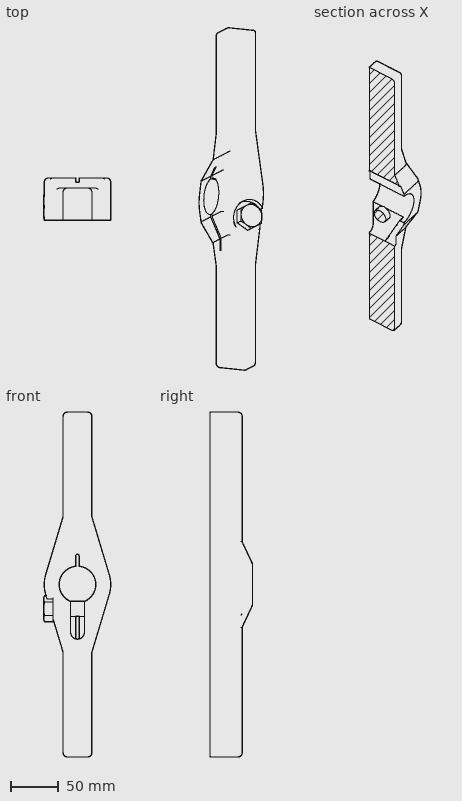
import cadquery as cq
import math

LENGTH = 360.68
HUB_DEPTH = 44.45
HUB_RADIUS = 34.925
BAR_WIDTH = 30.3
BAR_DEPTH = 33.78
FLARE_HALF_HEIGHT = 70.9
HUB_FLAT_HALF_HEIGHT = 21.8
SLOPE_HALF_HEIGHT = 44.45
EDGE_RADIUS = 4.7625
FRONT_EDGE_RADIUS = 0.79375

BORE_DIAMETER = 38.1
SLIT_WIDTH = 3.175
SLIT_TOP = 31.75

POCKET_WIDTH = 14.2875
POCKET_BOTTOM = -57.15
POCKET_WALL = 6.35

BOLT_Y = 14.2875
BOLT_Z = -25.4
BOLT_DIAMETER = 15.875
HEAD_SIDES = 6
HEAD_FLATS = 23.8125
HEAD_HEIGHT = 9.955
HEAD_BEVEL_ANGLE = 30.0
SEAT_X = -25.4
SEAT_RADIUS = 17.4625

HALF_LENGTH = LENGTH / 2
HALF_BAR = BAR_WIDTH / 2
SLOPE_RUN = SLOPE_HALF_HEIGHT - HUB_FLAT_HALF_HEIGHT
SLOPE_RISE = HUB_DEPTH - BAR_DEPTH
SLOPE_GRADIENT = SLOPE_RISE / SLOPE_RUN
TOLERANCE = 0.01


def flank_tangent_point():
    """X and Z where the flank from the upper right bar corner touches the hub circle."""
    corner_distance = math.hypot(HALF_BAR, FLARE_HALF_HEIGHT)
    corner_angle = math.atan2(FLARE_HALF_HEIGHT, HALF_BAR)
    angle = corner_angle - math.acos(HUB_RADIUS / corner_distance)
    return HUB_RADIUS * math.cos(angle), HUB_RADIUS * math.sin(angle)


def extrude_back(sketch):
    """Extrude an XZ sketch from the front face through the hub depth, toward +Y."""
    return sketch.extrude(-HUB_DEPTH)


def make_outline():
    """Bar with a hub in the middle, seen along Y, at full hub depth."""
    tangent_x, tangent_z = flank_tangent_point()
    sketch = (
        cq.Workplane("XZ")
        .moveTo(-HALF_BAR, HALF_LENGTH)
        .lineTo(HALF_BAR, HALF_LENGTH)
        .lineTo(HALF_BAR, FLARE_HALF_HEIGHT)
        .lineTo(tangent_x, tangent_z)
        .threePointArc((HUB_RADIUS, 0), (tangent_x, -tangent_z))
        .lineTo(HALF_BAR, -FLARE_HALF_HEIGHT)
        .lineTo(HALF_BAR, -HALF_LENGTH)
        .lineTo(-HALF_BAR, -HALF_LENGTH)
        .lineTo(-HALF_BAR, -FLARE_HALF_HEIGHT)
        .lineTo(-tangent_x, -tangent_z)
        .threePointArc((-HUB_RADIUS, 0), (-tangent_x, tangent_z))
        .lineTo(-HALF_BAR, FLARE_HALF_HEIGHT)
        .close()
    )
    return extrude_back(sketch)


def make_side_profile():
    """Thin bar rising over slopes to the hub, seen along X, wider than the hub."""
    return (
        cq.Workplane("YZ")
        .polyline(
            [
                (0, -HALF_LENGTH),
                (BAR_DEPTH, -HALF_LENGTH),
                (BAR_DEPTH, -SLOPE_HALF_HEIGHT),
                (HUB_DEPTH, -HUB_FLAT_HALF_HEIGHT),
                (HUB_DEPTH, HUB_FLAT_HALF_HEIGHT),
                (BAR_DEPTH, SLOPE_HALF_HEIGHT),
                (BAR_DEPTH, HALF_LENGTH),
                (0, HALF_LENGTH),
            ]
        )
        .close()
        .extrude(2 * HUB_RADIUS, both=True)
    )


def is_back_slope(face):
    """True for the two faces leaning between the bar and the hub flat."""
    normal = face.normalAt()
    return face.geomType() == "PLANE" and normal.y > TOLERANCE and abs(normal.z) > TOLERANCE


def is_cross_ridge(edge):
    """True for the lines across the back where a slope meets a flat."""
    center = edge.Center()
    height = abs(center.z)
    at_hub_flat = abs(height - HUB_FLAT_HALF_HEIGHT) < TOLERANCE
    at_bar = abs(height - SLOPE_HALF_HEIGHT) < TOLERANCE
    return abs(center.x) < TOLERANCE and (at_hub_flat or at_bar)


def make_body():
    """Handle body with rounded end corners, front edge and back outline."""
    body = make_outline().intersect(make_side_profile())
    end_corners = body.faces("<Z or >Z").edges("|Y")
    body = end_corners.fillet(EDGE_RADIUS)
    body = body.faces("<Y").fillet(FRONT_EDGE_RADIUS)
    flat_backs = body.faces("+Y").vals()
    slopes = [face for face in body.faces().vals() if is_back_slope(face)]
    back_faces = flat_backs + slopes
    back_edges = [edge for face in back_faces for edge in face.Edges()]
    outline = [edge for edge in back_edges if not is_cross_ridge(edge)]
    return body.newObject(outline).fillet(EDGE_RADIUS)


def cut_bore(body):
    """Round bore through the hub along Y."""
    return body.cut(extrude_back(cq.Workplane("XZ").circle(BORE_DIAMETER / 2)))


def cut_slit(body):
    """Clamping slit through the full depth, with a round upper end."""
    height = SLIT_TOP - POCKET_BOTTOM
    middle = (SLIT_TOP + POCKET_BOTTOM) / 2
    sketch = cq.Workplane("XZ").center(0, middle).slot2D(height, SLIT_WIDTH, 90)
    return body.cut(extrude_back(sketch))


def cut_pocket(body):
    """Round-ended pocket in the front face, its floor parallel to the lower back slope."""
    height = -POCKET_BOTTOM
    sketch = (
        cq.Workplane("XZ")
        .center(0, POCKET_BOTTOM / 2)
        .slot2D(height, POCKET_WIDTH, 90)
    )
    slot = extrude_back(sketch)
    wall_along_y = POCKET_WALL * math.hypot(1, SLOPE_GRADIENT)
    floor_at_center = HUB_DEPTH + HUB_FLAT_HALF_HEIGHT * SLOPE_GRADIENT - wall_along_y
    floor_at_bottom = floor_at_center + POCKET_BOTTOM * SLOPE_GRADIENT
    under_floor = (
        cq.Workplane("YZ")
        .polyline([(0, 0), (floor_at_center, 0), (floor_at_bottom, POCKET_BOTTOM), (0, POCKET_BOTTOM)])
        .close()
        .extrude(POCKET_WIDTH, both=True)
    )
    return body.cut(slot.intersect(under_floor))


def seat_plane():
    """Plane of the bolt seat, centred on the bolt axis and facing -X."""
    return cq.Plane(origin=(SEAT_X, BOLT_Y, BOLT_Z), xDir=(0, 0, 1), normal=(-1, 0, 0))


def cut_bolt_seat(body):
    """Round flat seat for the bolt head, open to the front face."""
    return body.cut(cq.Workplane(seat_plane()).circle(SEAT_RADIUS).extrude(HUB_RADIUS))


def make_bolt():
    """Hexagon bolt with bevelled head corners, its shank bridging the pocket."""
    corner_diameter = HEAD_FLATS / math.cos(math.pi / HEAD_SIDES)
    head = cq.Workplane(seat_plane()).polygon(HEAD_SIDES, corner_diameter).extrude(HEAD_HEIGHT)
    bevel_width = (corner_diameter - HEAD_FLATS) / 2
    bevel_height = bevel_width * math.tan(math.radians(HEAD_BEVEL_ANGLE))
    envelope = (
        cq.Workplane(seat_plane())
        .circle(corner_diameter / 2)
        .extrude(HEAD_HEIGHT)
        .faces("<X")
        .chamfer(bevel_height, bevel_width)
    )
    shank_length = POCKET_WIDTH / 2 - SEAT_X
    shank = cq.Workplane(seat_plane()).circle(BOLT_DIAMETER / 2).extrude(-shank_length)
    return head.intersect(envelope).union(shank)


body = make_body()
body = cut_bore(body)
body = cut_slit(body)
body = cut_pocket(body)
body = cut_bolt_seat(body)
result = body.union(make_bolt())